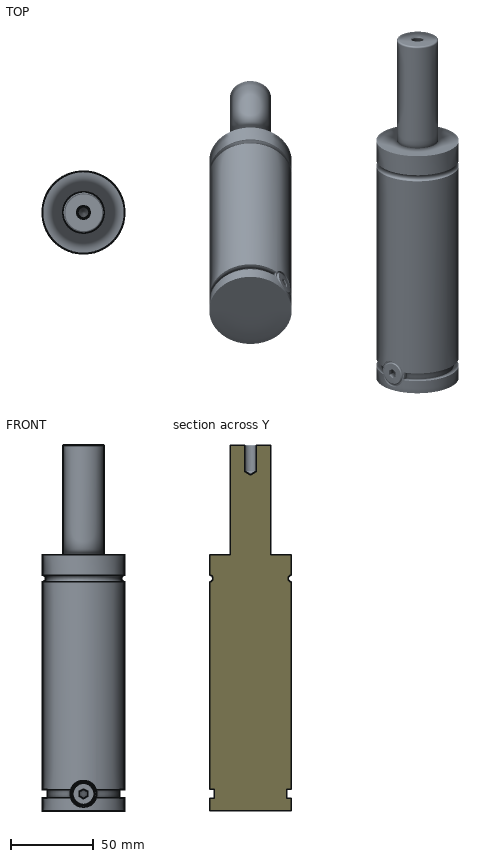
import cadquery as cq
import math

total_height = 222.0
body_height = 155.5
body_diameter = 50.0
rod_diameter = 25.0
rod_end_radius = 1.0

ring_groove_radius = 2.0
ring_groove_center_z = 141.0

base_groove_bottom_z = 8.0
base_groove_width = 5.0
base_groove_diameter = 44.0

rod_hole_diameter = 6.8
rod_hole_mouth_diameter = 8.0
rod_hole_depth = 16.0
drill_point_angle = 118.0

seat_diameter = 16.0
seat_face_y = -23.5
seat_root_y = -18.0
seat_center_z = base_groove_bottom_z + base_groove_width / 2

plug_diameter = 14.0
plug_height = 1.0
plug_chamfer = 0.5
plug_face_y = seat_face_y - plug_height
socket_across_flats = 5.0
socket_depth = 4.0


def upright_cylinder(diameter, bottom_z, top_z):
    """Cylinder on the Z axis between two heights."""
    return cq.Workplane("XY").workplane(offset=bottom_z).circle(diameter / 2).extrude(top_z - bottom_z)


def make_body():
    """Cylinder with the half-round ring groove and the square base groove."""
    body = upright_cylinder(body_diameter, 0, body_height)
    ring = (
        cq.Workplane("XZ")
        .center(body_diameter / 2, ring_groove_center_z)
        .circle(ring_groove_radius)
        .revolve(360, (-body_diameter / 2, 0), (-body_diameter / 2, 1))
    )
    base_groove_top_z = base_groove_bottom_z + base_groove_width
    clamp_ring = upright_cylinder(body_diameter, base_groove_bottom_z, base_groove_top_z).cut(
        upright_cylinder(base_groove_diameter, base_groove_bottom_z, base_groove_top_z)
    )
    return body.cut(ring).cut(clamp_ring)


def make_rod():
    """Piston rod with a rounded end."""
    return upright_cylinder(rod_diameter, body_height, total_height).faces(">Z").edges().fillet(rod_end_radius)


def make_rod_hole():
    """Drilled hole with a 45 degree mouth and a conical drill point."""
    hole_radius = rod_hole_diameter / 2
    mouth_radius = rod_hole_mouth_diameter / 2
    mouth_depth = mouth_radius - hole_radius
    point_depth = hole_radius / math.tan(math.radians(drill_point_angle / 2))
    hole_bottom_z = total_height - rod_hole_depth
    return (
        cq.Workplane("XZ")
        .moveTo(0, total_height)
        .lineTo(mouth_radius, total_height)
        .lineTo(hole_radius, total_height - mouth_depth)
        .lineTo(hole_radius, hole_bottom_z)
        .lineTo(0, hole_bottom_z - point_depth)
        .close()
        .revolve(360, (0, 0), (0, 1))
    )


def plug_cylinder(diameter, inner_y, outer_y):
    """Cylinder on the plug axis, running in the -Y direction from inner_y to outer_y."""
    plane = cq.Workplane("XZ", origin=(0, inner_y, seat_center_z))
    return plane.circle(diameter / 2).extrude(inner_y - outer_y)


def make_seat_clearance():
    """Round cut that removes the body side in front of the seat face."""
    return plug_cylinder(seat_diameter, seat_face_y, -body_diameter / 2)


def make_seat():
    """Round seat that bridges the base groove behind the plug head."""
    return plug_cylinder(seat_diameter, seat_root_y, seat_face_y)


def make_plug_head():
    """Plug head with a chamfered face."""
    return plug_cylinder(plug_diameter, seat_face_y, plug_face_y).faces("<Y").chamfer(plug_chamfer)


def make_socket():
    """Hexagon socket in the plug face, with one corner up."""
    socket_across_corners = socket_across_flats / math.cos(math.radians(30))
    return (
        cq.Workplane("XZ", origin=(0, plug_face_y, seat_center_z))
        .transformed(rotate=(0, 0, 90))
        .polygon(6, socket_across_corners)
        .extrude(-socket_depth)
    )


result = make_body().union(make_rod()).cut(make_rod_hole())
result = result.cut(make_seat_clearance()).union(make_seat())
result = result.union(make_plug_head()).cut(make_socket())